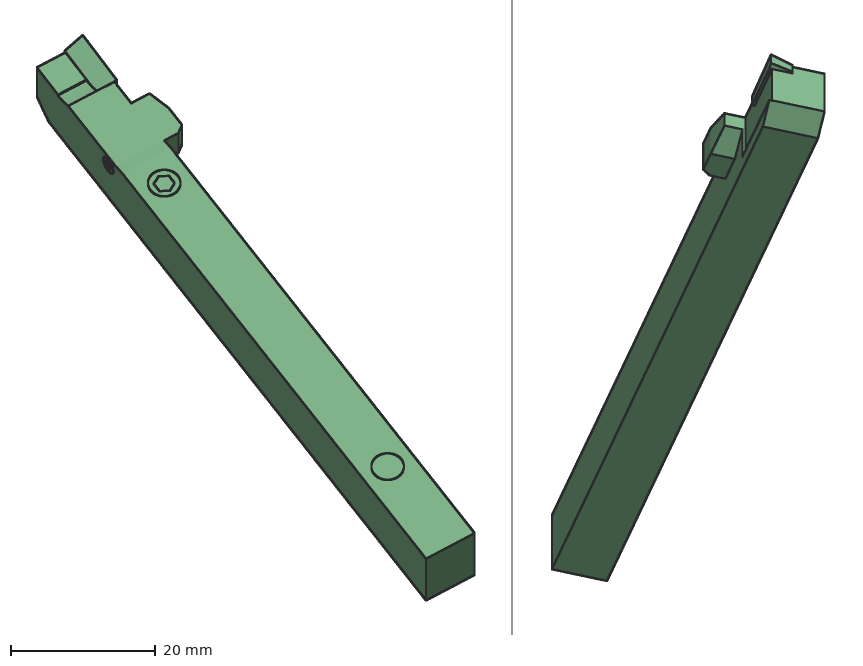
import cadquery as cq

LENGTH = 100.0
WIDTH = 8.0
HEIGHT = 10.0
SHANK_START = 0.7
NOSE_CHAMFER_LENGTH = 3.0
NOSE_CHAMFER_HEIGHT = 2.4

DECK_HEIGHT = 9.7
DECK_START = 8.7
DECK_END = 20.8
DECK_RAMP_END = 22.6
SEAT_FRONT_HEIGHT = 9.4
SEAT_REAR_HEIGHT = 9.3
GROOVE_START = 6.1
GROOVE_END = 6.5
GROOVE_HEIGHT = 9.1
SEAT_ARC_X = 7.8
SEAT_ARC_HEIGHT = 9.4

RELIEF_DEPTH = 0.4
RELIEF_BOTTOM = NOSE_CHAMFER_HEIGHT

WING_START = 13.0
WING_END = DECK_END
WING_REACH = 11.5
WING_NOSE_REACH = 10.6
WING_SLOPE_END = 16.5
WING_REAR_CHAMFER_LENGTH = 0.9
WING_REAR_CHAMFER_WIDTH = 1.2
WING_BOTTOM = 4.9
WING_NOSE_BOTTOM = 7.4

INSERT_TOP = 10.2
INSERT_REAR_HEIGHT = 9.8
INSERT_TILT = 11.0
INSERT_INNER_SIDE = 4.7
INSERT_INNER_START = 0.5
INSERT_TIP_BOTTOM = 8.6
INSERT_BOTTOM = 8.2

TOP_SCREW_X = 27.0
TOP_HOLE_X = 84.0
TOP_DIAMETER = 4.5
TOP_SOCKET_DIAMETER = 2.9
SIDE_SCREW_X = 18.9
SIDE_SCREW_Z = 7.6
SIDE_DIAMETER = 2.6
SIDE_SOCKET_DIAMETER = 1.5
HEAD_RECESS = 0.1
SOCKET_DEPTH = 0.2


def extrude_across(points, y_start, y_end):
    """Extrude an XZ outline from y_start to y_end."""
    plane = cq.Workplane("XZ", origin=(0, y_start, 0))
    return plane.polyline(points).close().extrude(y_start - y_end)


def make_shank():
    side = (
        cq.Workplane("XZ")
        .moveTo(SHANK_START + NOSE_CHAMFER_LENGTH, 0)
        .lineTo(LENGTH, 0)
        .lineTo(LENGTH, HEIGHT)
        .lineTo(DECK_RAMP_END, HEIGHT)
        .lineTo(DECK_END, DECK_HEIGHT)
        .lineTo(DECK_START, DECK_HEIGHT)
        .threePointArc((SEAT_ARC_X, SEAT_ARC_HEIGHT), (GROOVE_END, GROOVE_HEIGHT))
        .lineTo(GROOVE_START, GROOVE_HEIGHT)
        .lineTo(GROOVE_START, SEAT_REAR_HEIGHT)
        .lineTo(SHANK_START, SEAT_FRONT_HEIGHT)
        .lineTo(SHANK_START, NOSE_CHAMFER_HEIGHT)
        .close()
    )
    relief = cq.Workplane("XY").box(WING_START, RELIEF_DEPTH, HEIGHT, centered=False)
    relief = relief.translate((0, WIDTH - RELIEF_DEPTH, RELIEF_BOTTOM))
    return side.extrude(-WIDTH).cut(relief)


def make_wing():
    root = WIDTH - RELIEF_DEPTH
    plan = [
        (WING_START, root),
        (WING_END, root),
        (WING_END, WING_REACH - WING_REAR_CHAMFER_WIDTH),
        (WING_END - WING_REAR_CHAMFER_LENGTH, WING_REACH),
        (WING_SLOPE_END, WING_REACH),
        (WING_START, WING_NOSE_REACH),
    ]
    side = [
        (WING_START, WING_NOSE_BOTTOM),
        (WING_SLOPE_END, WING_BOTTOM),
        (WING_END, WING_BOTTOM),
        (WING_END, DECK_HEIGHT),
        (WING_START, DECK_HEIGHT),
    ]
    column = cq.Workplane("XY").polyline(plan).close().extrude(HEIGHT)
    return column.intersect(extrude_across(side, root, WING_REACH))


def make_insert_column():
    """Insert outline seen from above, as a column over the insert's underside."""
    plan = [
        (0, WIDTH),
        (INSERT_INNER_START, INSERT_INNER_SIDE),
        (DECK_START, INSERT_INNER_SIDE),
        (DECK_START, WIDTH),
    ]
    base = cq.Workplane("XY", origin=(0, 0, INSERT_BOTTOM))
    return base.polyline(plan).close().extrude(HEIGHT)


def make_insert():
    top_side = [
        (0, INSERT_TOP),
        (DECK_START, INSERT_REAR_HEIGHT),
        (DECK_START, 0),
        (0, 0),
    ]
    tilted_block = extrude_across(top_side, 0, 2 * WIDTH)
    tilted_block = tilted_block.rotate((0, WIDTH, INSERT_TOP), (1, WIDTH, INSERT_TOP), INSERT_TILT)
    front_side = [
        (0, INSERT_TIP_BOTTOM),
        (SHANK_START, INSERT_BOTTOM),
        (DECK_START, INSERT_BOTTOM),
        (DECK_START, INSERT_TOP),
        (0, INSERT_TOP),
    ]
    front_block = extrude_across(front_side, INSERT_INNER_SIDE, WIDTH)
    return make_insert_column().intersect(tilted_block).intersect(front_block)


def cut_screw(body, face, diameter, socket_diameter):
    """Cut a shallow round recess and a hexagonal socket into a face."""
    body = body.cut(face.circle(diameter / 2).extrude(-HEAD_RECESS))
    return body.cut(face.polygon(6, socket_diameter).extrude(-SOCKET_DEPTH))


body = make_shank().cut(make_insert_column()).union(make_insert()).union(make_wing())

top_screw = cq.Workplane("XY", origin=(TOP_SCREW_X, WIDTH / 2, HEIGHT))
body = cut_screw(body, top_screw, TOP_DIAMETER, TOP_SOCKET_DIAMETER)

side_screw = cq.Workplane("XZ", origin=(SIDE_SCREW_X, 0, SIDE_SCREW_Z))
body = cut_screw(body, side_screw, SIDE_DIAMETER, SIDE_SOCKET_DIAMETER)

top_hole = cq.Workplane("XY", origin=(TOP_HOLE_X, WIDTH / 2, HEIGHT))
result = body.cut(top_hole.circle(TOP_DIAMETER / 2).extrude(-HEAD_RECESS))